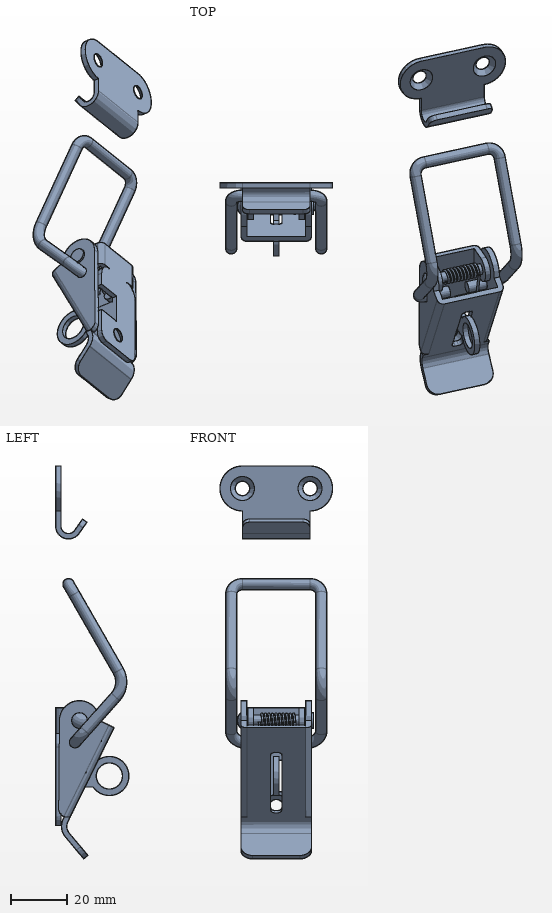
import cadquery as cq
import math


SHEET = 2.0
HOLE_DIAMETER = 5.0
COUNTERSINK_DIAMETER = 8.5
COUNTERSINK_ANGLE = 90

TOTAL_HEIGHT = 139.5
STRIKE_WIDTH = 40.0
STRIKE_HOLE_X = 12.0
STRIKE_END_RADIUS = STRIKE_WIDTH / 2 - STRIKE_HOLE_X
STRIKE_CENTER_Z = TOTAL_HEIGHT - STRIKE_END_RADIUS
HOOK_HALF_WIDTH = STRIKE_HOLE_X
HOOK_INNER_RADIUS = 2.7
HOOK_BOTTOM_Z = 113.5
HOOK_ARM_ANGLE = 55
HOOK_ARM_LENGTH = 4.9
HOOK_CORNER_RADIUS = 2.5

PIN_Y = -8.5
PIN_Z = 49.1
PIN_RADIUS = 2.0
PIN_HEAD_RADIUS = 2.8
DOME_HEIGHT = 1.3
FLAT_HEAD_THICKNESS = 0.7
SPRING_WIRE_RADIUS = 0.4
SPRING_COIL_RADIUS = 2.2
SPRING_START_X = -6.0
SPRING_PITCH = 1.3
SPRING_TURNS = 10
SPRING_LENGTH = SPRING_PITCH * SPRING_TURNS
SPRING_LEG_LENGTH = 9.8
SPRING_LEG_OFFSET = 2.5

BASE_HALF_WIDTH = 10.0
BASE_BOTTOM_Z = 11.9
BASE_EAR_RADIUS = 4.6
BASE_EAR_BOTTOM_Z = PIN_Z - BASE_EAR_RADIUS
BASE_SHOULDER_RADIUS = 4.7
BASE_CORNER_RADIUS = 3.0
BASE_HOLE_Z = 18.5

TOTAL_DEPTH = 26.1
RING_OUTER_RADIUS = 7.0
RING_HOLE_RADIUS = 4.6
RING_Y = RING_OUTER_RADIUS - TOTAL_DEPTH
RING_Z = 29.5
RING_NECK_HEIGHT = 8.0
NOTCH_HEIGHT = 11.0

LEVER_HALF_WIDTH = 12.5
LEVER_INNER_HALF_WIDTH = 10.5
LEVER_EDGE_RADIUS = LEVER_HALF_WIDTH - LEVER_INNER_HALF_WIDTH
LEVER_TILT = 26.2
LEVER_PLATE_LENGTH = 37.1
LEVER_EAR_RADIUS = 7.1
LEVER_EAR_BOTTOM_Z = 14.9
LEVER_EAR_REAR_Y = -1.1
LEVER_EAR_REAR_Z = 17.3
LEVER_EAR_CORNER_RADIUS = 3.5
TAB_TILT = 40
TAB_BEND_RADIUS = 3.9
TAB_BEND_Y = -8.0
TAB_BEND_Z = 11.6
TAB_CORNER_RADIUS = 4.0
SLOT_WIDTH = 4.0
SLOT_LENGTH = 23.9
SLOT_CORNER_RADIUS = 1.4
SLOT_CENTER_Z = 27.0

WIRE_DIAMETER = 4.0
WIRE_RADIUS = WIRE_DIAMETER / 2
BAIL_WIDTH = 32.0
BAIL_HALF_WIDTH = BAIL_WIDTH / 2
BAIL_END_X = 3.5
BAIL_TOP = (-4.6, 97.5)
BAIL_KNEE = (-25.1, 61.8)
BAIL_PIVOT = (-6.7, 41.2)
BAIL_TOP_BEND_RADIUS = 4.0
BAIL_KNEE_BEND_RADIUS = 8.0
BAIL_PIVOT_BEND_RADIUS = 5.7


def polar(center, radius, angle):
    """Point of the YZ plane at an angle in degrees, counted from +Y towards +Z."""
    turn = math.radians(angle)
    return (center[0] + radius * math.cos(turn), center[1] + radius * math.sin(turn))


def across(profile, half_width):
    """Extrude a YZ profile symmetrically about X = 0."""
    return profile.extrude(half_width, both=True)


def round_end_corners(strip, end_point, thickness_angle, radius):
    """Round the two corners of a bent strip at the end face that holds end_point."""
    thickness = cq.Vector(0, *polar((0, 0), 1, thickness_angle))
    end_face = strip.faces(cq.selectors.NearestToPointSelector((0, *end_point)))
    return end_face.edges(cq.selectors.ParallelDirSelector(thickness)).fillet(radius)


def countersunk(plate, points):
    """Drill countersunk screw holes from the front; each point is (X, Z)."""
    front = cq.Plane(origin=(0, -SHEET, 0), xDir=(1, 0, 0), normal=(0, -1, 0))
    return (
        plate.copyWorkplane(cq.Workplane(front))
        .pushPoints(points)
        .cskHole(HOLE_DIAMETER, COUNTERSINK_DIAMETER, COUNTERSINK_ANGLE)
    )


def midpoint(a, b):
    return ((a[0] + b[0]) / 2, (a[1] + b[1]) / 2)


def make_strike():
    plate = (
        cq.Workplane("XZ")
        .center(0, STRIKE_CENTER_Z)
        .slot2D(STRIKE_WIDTH, 2 * STRIKE_END_RADIUS)
        .extrude(SHEET)
    )
    outer_radius = HOOK_INNER_RADIUS + SHEET
    bend = (-outer_radius, HOOK_BOTTOM_Z + outer_radius)
    arm_start = -90 - HOOK_ARM_ANGLE
    arm_middle = arm_start / 2
    arm_direction = 180 - HOOK_ARM_ANGLE
    outer_start = polar(bend, outer_radius, arm_start)
    inner_start = polar(bend, HOOK_INNER_RADIUS, arm_start)
    outer_tip = polar(outer_start, HOOK_ARM_LENGTH, arm_direction)
    inner_tip = polar(inner_start, HOOK_ARM_LENGTH, arm_direction)
    hook = across(
        cq.Workplane("YZ")
        .moveTo(0, STRIKE_CENTER_Z)
        .lineTo(0, bend[1])
        .threePointArc(polar(bend, outer_radius, arm_middle), outer_start)
        .lineTo(*outer_tip)
        .lineTo(*inner_tip)
        .lineTo(*inner_start)
        .threePointArc(polar(bend, HOOK_INNER_RADIUS, arm_middle), (-SHEET, bend[1]))
        .lineTo(-SHEET, STRIKE_CENTER_Z)
        .close(),
        HOOK_HALF_WIDTH,
    )
    hook = round_end_corners(hook, midpoint(outer_tip, inner_tip), arm_start, HOOK_CORNER_RADIUS)
    holes = [(side * STRIKE_HOLE_X, STRIKE_CENTER_Z) for side in (-1, 1)]
    return countersunk(plate.union(hook), holes).solids()


def make_bail():
    left = -BAIL_HALF_WIDTH
    corners = [
        (cq.Vector(left, *BAIL_PIVOT), BAIL_PIVOT_BEND_RADIUS),
        (cq.Vector(left, *BAIL_KNEE), BAIL_KNEE_BEND_RADIUS),
        (cq.Vector(left, *BAIL_TOP), BAIL_TOP_BEND_RADIUS),
    ]
    corners += [(cq.Vector(-p.x, p.y, p.z), radius) for p, radius in reversed(corners)]
    start = cq.Vector(-BAIL_END_X, *BAIL_PIVOT)
    end = cq.Vector(BAIL_END_X, *BAIL_PIVOT)
    points = [start] + [p for p, _ in corners] + [end]

    edges = []
    last = start
    for i, (corner, radius) in enumerate(corners):
        to_previous = (points[i] - corner).normalized()
        to_next = (points[i + 2] - corner).normalized()
        half_angle = to_previous.getAngle(to_next) / 2
        setback = radius / math.tan(half_angle)
        middle_distance = radius / math.sin(half_angle) - radius
        arc_start = corner + to_previous * setback
        arc_middle = corner + (to_previous + to_next).normalized() * middle_distance
        arc_end = corner + to_next * setback
        edges.append(cq.Edge.makeLine(last, arc_start))
        edges.append(cq.Edge.makeThreePointArc(arc_start, arc_middle, arc_end))
        last = arc_end
    edges.append(cq.Edge.makeLine(last, end))

    wire_section = cq.Workplane(cq.Plane(origin=start.toTuple(), normal=(-1, 0, 0))).circle(WIRE_RADIUS)
    return wire_section.sweep(cq.Workplane(cq.Wire.assembleEdges(edges)))


def make_base():
    plate_height = BASE_EAR_BOTTOM_Z - BASE_BOTTOM_Z
    plate = (
        cq.Workplane("XY")
        .box(2 * BASE_HALF_WIDTH, SHEET, plate_height, centered=(True, True, False))
        .translate((0, -SHEET / 2, BASE_BOTTOM_Z))
        .edges("|Y and >Z")
        .fillet(BASE_SHOULDER_RADIUS)
        .edges("|Y and <Z")
        .fillet(BASE_CORNER_RADIUS)
    )
    ear_top_z = PIN_Z + BASE_EAR_RADIUS
    ears = across(
        cq.Workplane("YZ")
        .moveTo(0, BASE_EAR_BOTTOM_Z)
        .lineTo(PIN_Y, BASE_EAR_BOTTOM_Z)
        .threePointArc((PIN_Y - BASE_EAR_RADIUS, PIN_Z), (PIN_Y, ear_top_z))
        .lineTo(0, ear_top_z)
        .close(),
        BASE_HALF_WIDTH,
    )
    ears = ears.faces(">Y").edges("|Z").fillet(SHEET)
    between_ears = (
        cq.Workplane("XY")
        .box(2 * (BASE_HALF_WIDTH - SHEET), TOTAL_DEPTH, TOTAL_HEIGHT, centered=(True, False, False))
        .translate((0, -SHEET - TOTAL_DEPTH, 0))
    )
    notch = (
        cq.Workplane("XY")
        .box(BASE_HALF_WIDTH, SHEET, NOTCH_HEIGHT)
        .translate(((SHEET + BASE_HALF_WIDTH) / 2, -SHEET / 2, RING_Z))
    )
    base = plate.union(ears.cut(between_ears)).cut(notch)
    return countersunk(base, [(0, BASE_HOLE_Z)]).union(make_ring())


def make_ring():
    ring = across(cq.Workplane("YZ").center(RING_Y, RING_Z).circle(RING_OUTER_RADIUS), SHEET / 2)
    neck = across(
        cq.Workplane("YZ").center(RING_Y / 2, RING_Z).rect(-RING_Y, RING_NECK_HEIGHT), SHEET / 2
    )
    hole = across(cq.Workplane("YZ").center(RING_Y, RING_Z).circle(RING_HOLE_RADIUS), SHEET)
    return ring.union(neck).cut(hole)


def make_lever():
    bend = (TAB_BEND_Y, TAB_BEND_Z)
    bend_outer_radius = TAB_BEND_RADIUS + SHEET
    up_plate = 90 + LEVER_TILT
    front_start = polar(bend, TAB_BEND_RADIUS, LEVER_TILT)
    back_start = polar(bend, bend_outer_radius, LEVER_TILT)
    front_top = polar(front_start, LEVER_PLATE_LENGTH, up_plate)

    def on_plate(start, z):
        """Point at height z on the plate line that leaves start."""
        return (start[0] - (z - start[1]) * math.tan(math.radians(LEVER_TILT)), z)

    front_bottom = on_plate(front_start, LEVER_EAR_BOTTOM_Z)
    back_bottom = on_plate(back_start, LEVER_EAR_BOTTOM_Z)

    pin = (PIN_Y, PIN_Z)
    tilt = math.radians(LEVER_TILT)
    edge_offset = (front_top[1] - PIN_Z) * math.cos(tilt) - (front_top[0] - PIN_Y) * math.sin(tilt)
    arc_end_angle = LEVER_TILT + 180 - math.degrees(math.asin(edge_offset / LEVER_EAR_RADIUS))
    channel = across(
        cq.Workplane("YZ")
        .moveTo(*front_bottom)
        .lineTo(*front_top)
        .lineTo(*polar(pin, LEVER_EAR_RADIUS, arc_end_angle))
        .threePointArc(polar(pin, LEVER_EAR_RADIUS, 90), polar(pin, LEVER_EAR_RADIUS, 0))
        .lineTo(LEVER_EAR_REAR_Y, LEVER_EAR_REAR_Z)
        .radiusArc(back_bottom, LEVER_EAR_CORNER_RADIUS)
        .close(),
        LEVER_HALF_WIDTH,
    )
    front_face = cq.selectors.NearestToPointSelector((0, *midpoint(front_bottom, front_top)))
    plate_direction = cq.Vector(0, *polar((0, 0), 1, up_plate))
    channel = (
        channel.faces(front_face)
        .edges(cq.selectors.ParallelDirSelector(plate_direction))
        .fillet(LEVER_EDGE_RADIUS)
    )
    back_low = polar(back_start, -LEVER_PLATE_LENGTH, up_plate)
    back_high = polar(back_start, 2 * LEVER_PLATE_LENGTH, up_plate)
    inside = across(
        cq.Workplane("YZ").polyline([back_low, back_high, (0, back_high[1]), (0, back_low[1])]).close(),
        LEVER_INNER_HALF_WIDTH,
    )

    tab_front = polar(bend, TAB_BEND_RADIUS, -TAB_TILT)
    tab_back = polar(bend, bend_outer_radius, -TAB_TILT)
    tab_length = tab_back[1] / math.cos(math.radians(TAB_TILT))
    down_tab = -90 - TAB_TILT
    tip_front = polar(tab_front, tab_length, down_tab)
    tip_back = polar(tab_back, tab_length, down_tab)
    tab = across(
        cq.Workplane("YZ")
        .moveTo(*front_bottom)
        .lineTo(*front_start)
        .threePointArc(polar(bend, TAB_BEND_RADIUS, 0), tab_front)
        .lineTo(*tip_front)
        .lineTo(*tip_back)
        .lineTo(*tab_back)
        .threePointArc(polar(bend, bend_outer_radius, 0), back_start)
        .lineTo(*back_bottom)
        .close(),
        LEVER_HALF_WIDTH,
    )
    tab = round_end_corners(tab, midpoint(tip_front, tip_back), -TAB_TILT, TAB_CORNER_RADIUS)

    slot_plane = cq.Plane(
        origin=(0, *on_plate(front_start, SLOT_CENTER_Z)),
        xDir=(1, 0, 0),
        normal=(0, *polar((0, 0), -1, LEVER_TILT)),
    )
    slot = (
        cq.Workplane(slot_plane)
        .rect(SLOT_WIDTH, SLOT_LENGTH)
        .extrude(SHEET, both=True)
        .edges(cq.selectors.ParallelDirSelector(slot_plane.zDir))
        .fillet(SLOT_CORNER_RADIUS)
    )
    return channel.cut(inside).union(tab).cut(slot)


def make_pin():
    """Pin along X with a domed head on the -X end and a flat head on the +X end."""
    shank_end = LEVER_HALF_WIDTH
    flat_end = shank_end + FLAT_HEAD_THICKNESS
    dome_radius = (PIN_HEAD_RADIUS**2 + DOME_HEIGHT**2) / (2 * DOME_HEIGHT)
    half_chord = math.asin(PIN_HEAD_RADIUS / dome_radius) / 2
    dome_middle = (
        -shank_end - DOME_HEIGHT + dome_radius * (1 - math.cos(half_chord)),
        dome_radius * math.sin(half_chord),
    )
    half_section = (
        cq.Workplane("XY")
        .moveTo(-shank_end - DOME_HEIGHT, 0)
        .threePointArc(dome_middle, (-shank_end, PIN_HEAD_RADIUS))
        .lineTo(-shank_end, PIN_RADIUS)
        .lineTo(shank_end, PIN_RADIUS)
        .lineTo(shank_end, PIN_HEAD_RADIUS)
        .lineTo(flat_end, PIN_HEAD_RADIUS)
        .lineTo(flat_end, 0)
        .close()
    )
    return half_section.revolve(360, (0, 0, 0), (1, 0, 0)).translate((0, PIN_Y, PIN_Z))


def make_spring():
    """Coil seated into the pin's surface, with a leg that runs down in front of the bail wire."""
    leg_angle = math.degrees(math.atan2(BAIL_PIVOT[1] - PIN_Z, BAIL_PIVOT[0] - PIN_Y))
    front_angle = leg_angle - 90
    helix = cq.Wire.makeHelix(SPRING_PITCH, SPRING_LENGTH, SPRING_COIL_RADIUS)
    section = cq.Workplane("XZ").center(SPRING_COIL_RADIUS, 0).circle(SPRING_WIRE_RADIUS)
    coil = (
        section.sweep(cq.Workplane(helix), isFrenet=True)
        .rotate((0, 0, 0), (0, 1, 0), 90)
        .rotate((0, 0, 0), (1, 0, 0), front_angle + 90)
        .translate((SPRING_START_X, PIN_Y, PIN_Z))
    )
    leg_plane = cq.Plane(
        origin=(SPRING_START_X + SPRING_LENGTH, *polar((PIN_Y, PIN_Z), SPRING_LEG_OFFSET, front_angle)),
        xDir=(1, 0, 0),
        normal=(0, *polar((0, 0), 1, leg_angle)),
    )
    leg = cq.Workplane(leg_plane).circle(SPRING_WIRE_RADIUS).extrude(SPRING_LEG_LENGTH)
    return coil.union(leg)


def make_latch(bail):
    """Base and lever joined by the sprung pin, with holes in the lever ears for the bail."""
    return make_base().union(make_lever()).union(make_pin()).union(make_spring()).cut(bail).solids()


strike = make_strike()
bail = make_bail()
latch = make_latch(bail)
result = cq.Compound.makeCompound([strike.val(), bail.val(), latch.val()])